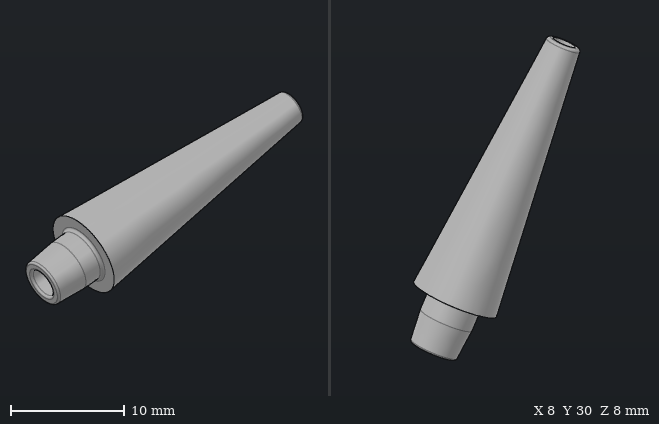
import cadquery as cq

total_length = 30.0
spigot_length = 5.0
body_base_radius = 4.0
body_tip_radius = 1.6
tip_round = 0.3

spigot_radius = 2.5
spigot_end_radius = 2.22
taper_length = 3.0
root_fillet = 0.3
spigot_end_round = 0.2

bore_entry_radius = 1.35
bore_exit_radius = 1.05
bore_entry_round = 0.25

spigot_end_y = -total_length / 2
taper_start_y = spigot_end_y + taper_length
shoulder_y = spigot_end_y + spigot_length
tip_y = total_length / 2


def turned_profile():
    """Half section of the wall, radius along X and length along Y."""
    return (
        cq.Workplane("XY")
        .moveTo(bore_entry_radius, spigot_end_y)
        .lineTo(spigot_end_radius, spigot_end_y)
        .lineTo(spigot_radius, taper_start_y)
        .lineTo(spigot_radius, shoulder_y)
        .lineTo(body_base_radius, shoulder_y)
        .lineTo(body_tip_radius, tip_y)
        .lineTo(bore_exit_radius, tip_y)
        .close()
    )


def round_ring_edge(body, flat_face, ring_edge, rounding):
    """Round the inner (0) or outer (1) circle of a flat ring; the rings are picked along Y."""
    ring = body.faces("%PLANE").faces(flat_face)
    return ring.edges(cq.selectors.RadiusNthSelector(ring_edge)).fillet(rounding)


INNER, OUTER = 0, 1
SPIGOT_END, SHOULDER, TIP = "<Y", ">Y[1]", ">Y"

part = turned_profile().revolve(360, (0, 0, 0), (0, 1, 0))
part = round_ring_edge(part, SHOULDER, INNER, root_fillet)
part = round_ring_edge(part, SPIGOT_END, OUTER, spigot_end_round)
part = round_ring_edge(part, SPIGOT_END, INNER, bore_entry_round)
part = round_ring_edge(part, TIP, OUTER, tip_round)

result = part